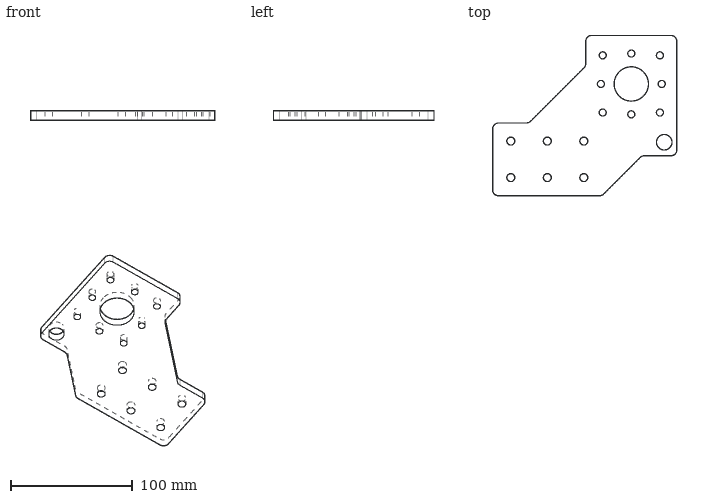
import cadquery as cq

length = 151.5
width = 132.0
thickness = 8.0
corner_radius = 5.0

arm_width = 60.0
block_left = 76.5
block_bottom = 32.9
upper_diagonal_rise = 46.7
lower_diagonal_start = 89.8

mount_diameter = 6.4
mount_pitch = 30.0
mount_columns = 3
mount_rows = 2
mount_margin = 15.0

bore_diameter = 28.0
bore_x = (block_left + length) / 2
bore_y = 92.0
fixing_diameter = 5.6
axial_offset = 25.0
diagonal_offset = 23.5

corner_hole_diameter = 12.5
corner_hole_x = 141.0
corner_hole_y = 44.1


def make_plate():
    """Extrude the outline and round all of its corners."""
    outline = [
        (0, 0),
        (lower_diagonal_start, 0),
        (lower_diagonal_start + block_bottom, block_bottom),
        (length, block_bottom),
        (length, width),
        (block_left, width),
        (block_left, arm_width + upper_diagonal_rise),
        (block_left - upper_diagonal_rise, arm_width),
        (0, arm_width),
    ]
    plate = cq.Workplane("XY").polyline(outline).close().extrude(thickness)
    return plate.edges("|Z").fillet(corner_radius)


def drill(plate, centers, diameter):
    """Cut through holes of one diameter at the given centers."""
    cutters = cq.Workplane("XY").pushPoints(centers).circle(diameter / 2).extrude(thickness)
    return plate.cut(cutters)


mount_centers = [
    (mount_margin + column * mount_pitch, mount_margin + row * mount_pitch)
    for column in range(mount_columns)
    for row in range(mount_rows)
]

fixing_centers = []
for step_x in (-1, 0, 1):
    for step_y in (-1, 0, 1):
        if step_x == 0 and step_y == 0:
            continue
        offset = diagonal_offset if step_x and step_y else axial_offset
        fixing_centers.append((bore_x + step_x * offset, bore_y + step_y * offset))

result = make_plate()
result = drill(result, mount_centers, mount_diameter)
result = drill(result, fixing_centers, fixing_diameter)
result = drill(result, [(bore_x, bore_y)], bore_diameter)
result = drill(result, [(corner_hole_x, corner_hole_y)], corner_hole_diameter)